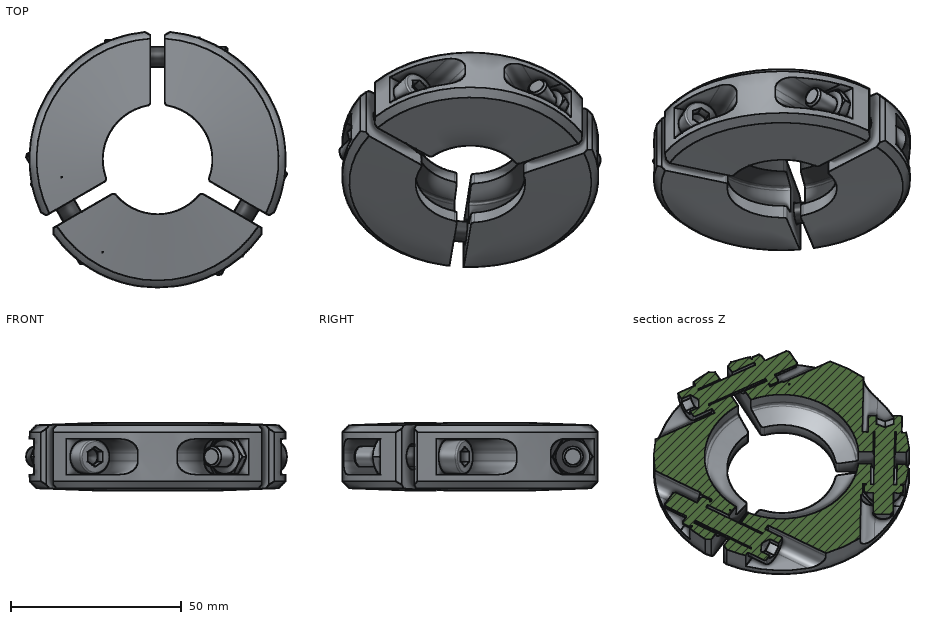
import cadquery as cq
import math


outer_radius = 37.5
bore_radius = 16.0
height = 20.0
rim_chamfer = 2.1
face_slope = 2.2

groove_mouth = 12.0
groove_radius = 22.5
groove_slope = 15.0
groove_fillet = 1.0

segment_count = 3
slot_width = 4.2
slot_mouth_radius = 36.4
slot_mouth_angle = 30.0
lip_fillet = 1.0
cut_clearance = 1.0

screw_radius = 30.0
seat_offset = 9.5
pocket_height = 10.4
pocket_floor = 23.5
pocket_corner = 4.0
nut_recess_width = 10.5
nut_recess_depth = 4.0
head_hole_diameter = 6.5
nut_hole_diameter = 7.5

screw_diameter = 6.0
screw_length = 30.0
screw_tip_chamfer = 0.65
head_diameter = 10.0
head_height = 6.0
head_fillet = 0.5
socket_width = 5.0
socket_depth = 3.0
socket_cone_depth = 1.2

nut_width = 10.0
nut_height = 3.2
nut_chamfer_angle = 30.0


def hex_circle(across_flats):
    """Diameter of the circle through the corners of a hexagon."""
    return across_flats / math.cos(math.radians(30))


def across_screw(x):
    """Plane square to the screw axis of the slot on +Y, facing +X; its local x is Y."""
    return cq.Plane(origin=(x, screw_radius, 0), xDir=(0, 1, 0), normal=(1, 0, 0))


def make_ring():
    slope = math.tan(math.radians(face_slope))
    rim_radius = outer_radius - rim_chamfer
    rim_top = height / 2 - (rim_radius - bore_radius) * slope
    wall_top = rim_top - rim_chamfer
    ring = (
        cq.Workplane("XZ")
        .moveTo(bore_radius, -height / 2)
        .lineTo(rim_radius, -rim_top)
        .lineTo(outer_radius, -wall_top)
        .lineTo(outer_radius, wall_top)
        .lineTo(rim_radius, rim_top)
        .lineTo(bore_radius, height / 2)
        .close()
        .revolve()
    )
    return ring.cut(make_groove())


def make_groove():
    """Disc with sloping faces; its outer edges round off the corners of the groove."""
    mouth_half = groove_mouth / 2
    fall = math.tan(math.radians(groove_slope))
    floor_half = mouth_half - (groove_radius - bore_radius) * fall
    axis_half = mouth_half + bore_radius * fall
    groove = (
        cq.Workplane("XZ")
        .moveTo(0, -axis_half)
        .lineTo(groove_radius, -floor_half)
        .lineTo(groove_radius, floor_half)
        .lineTo(0, axis_half)
        .close()
        .revolve()
    )
    groove = groove.edges("%CIRCLE").fillet(groove_fillet)
    inside_ring = cq.Workplane("XY").circle(groove_radius).extrude(groove_mouth / 2, both=True)
    return groove.intersect(inside_ring)


def make_slot():
    """Slot on +Y, flared where it leaves the ring."""
    half = slot_width / 2
    flare_end = outer_radius + cut_clearance
    flare_half = half + (flare_end - slot_mouth_radius) / math.tan(math.radians(slot_mouth_angle))
    return (
        cq.Workplane("XY")
        .moveTo(-half, 0)
        .lineTo(half, 0)
        .lineTo(half, slot_mouth_radius)
        .lineTo(flare_half, flare_end)
        .lineTo(-flare_half, flare_end)
        .lineTo(-half, slot_mouth_radius)
        .close()
        .extrude(height, both=True)
    )


def make_pocket(start, side):
    """Round-cornered pocket out to the rim, running from start along X on the +1 or -1 side."""
    length = outer_radius - start
    depth = outer_radius - pocket_floor
    return (
        cq.Workplane("XY")
        .box(length, depth, pocket_height)
        .edges("|X and <Y")
        .fillet(pocket_corner)
        .translate((side * (start + length / 2), pocket_floor + depth / 2, 0))
    )


def make_nut_pocket():
    """Pocket on the +X side; its end is half a hexagon, open to the rim, that stops the nut turning."""
    opening = outer_radius - screw_radius
    hexagon = (
        cq.Workplane(across_screw(seat_offset))
        .polygon(6, hex_circle(nut_recess_width))
        .extrude(nut_recess_depth)
    )
    way_out = (
        cq.Workplane(across_screw(seat_offset))
        .center(opening / 2, 0)
        .rect(opening, nut_recess_width)
        .extrude(nut_recess_depth)
    )
    return make_pocket(seat_offset + nut_recess_depth, 1).union(hexagon).union(way_out)


def make_screw_hole():
    head_side = (
        cq.Workplane(across_screw(-seat_offset))
        .circle(head_hole_diameter / 2)
        .extrude(seat_offset)
    )
    nut_side = cq.Workplane(across_screw(0)).circle(nut_hole_diameter / 2).extrude(seat_offset)
    return head_side.union(nut_side)


def make_screw():
    """Screw with its head on the -X seat."""
    head_end = -seat_offset - head_height
    shank = (
        cq.Workplane(across_screw(-seat_offset))
        .circle(screw_diameter / 2)
        .extrude(screw_length)
        .faces(">X")
        .chamfer(screw_tip_chamfer)
    )
    head = (
        cq.Workplane(across_screw(head_end))
        .circle(head_diameter / 2)
        .extrude(head_height)
        .faces("<X")
        .edges()
        .fillet(head_fillet)
    )
    socket = (
        cq.Workplane(across_screw(head_end))
        .transformed(rotate=(0, 0, 90))
        .polygon(6, hex_circle(socket_width))
        .extrude(socket_depth)
    )
    socket_end = cq.Workplane(
        cq.Solid.makeCone(
            socket_width / 2,
            0,
            socket_cone_depth,
            cq.Vector(head_end + socket_depth, screw_radius, 0),
            cq.Vector(1, 0, 0),
        )
    )
    return head.union(shank).cut(socket).cut(socket_end)


def make_nut():
    """Nut on the +X seat, two corners pointing along Y, with corners turned down at both ends."""
    corner_radius = hex_circle(nut_width) / 2
    flat_radius = nut_width / 2
    turn_down = (corner_radius - flat_radius) * math.tan(math.radians(nut_chamfer_angle))
    blank = (
        cq.Workplane(across_screw(seat_offset))
        .polygon(6, 2 * corner_radius)
        .extrude(nut_height)
    )
    envelope = (
        cq.Workplane(across_screw(seat_offset))
        .circle(corner_radius)
        .extrude(nut_height)
        .edges()
        .chamfer(turn_down, corner_radius - flat_radius)
    )
    return blank.intersect(envelope)


def around_ring(feature):
    """Copies of a feature of the +Y slot, one for each slot."""
    pitch = 360 / segment_count
    return [feature.rotate((0, 0, 0), (0, 0, 1), i * pitch) for i in range(segment_count)]


result = make_ring()
for slot in around_ring(make_slot()):
    result = result.cut(slot)

lip_zone = cq.selectors.BoxSelector(
    (-bore_radius, -bore_radius, -height), (bore_radius, bore_radius, height)
)
result = result.edges("|Z").edges(lip_zone).fillet(lip_fillet)

for cutter in (make_pocket(seat_offset, -1), make_nut_pocket(), make_screw_hole()):
    for copy in around_ring(cutter):
        result = result.cut(copy)

for fastener in around_ring(make_screw().union(make_nut())):
    result = result.union(fastener)